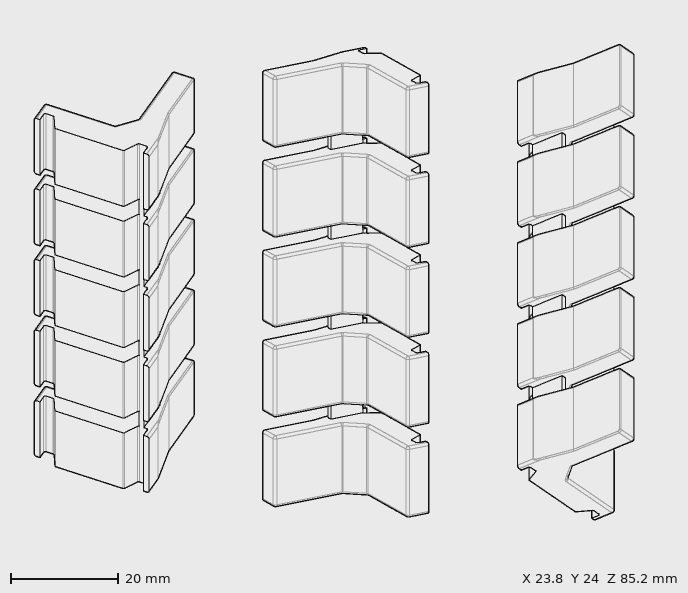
import cadquery as cq

width = 23.8
depth = 24.0
height = 85.2

block_count = 5
block_height = 14.1
block_pitch = (height - block_height) / (block_count - 1)

lip_width = 1.2
lip_bottom = 1.0
groove_roof = 3.0
groove_inner = 3.15
pad_inset = 4.8
foot_top = 5.7
pad_fillet = 0.25
groove_fillet = 0.3

plate_inner = 17.6
plate_outer = 22.15
gusset_start = 14.5
gusset_top = 9.3
gusset_fillet = 0.3
taper_top = 12.95
taper_bottom = 4.8

edge_fillet = 0.5
back_fillet = 0.25

web_left = 20.7
web_thickness = 1.0
web_front = 3.0
web_depth = 7.0

MARGIN = 0.04


def corner_edges(block, points):
    """Edges parallel to Z that pass through the given outline points."""
    picked = []
    for x, y in points:
        nearest = cq.selectors.NearestToPointSelector((x, y, block_height / 2))
        picked += block.edges("|Z").edges(nearest).vals()
    return block.newObject(picked)


def end_edges(block, sides):
    """Edges of both end faces on the given sides, each a pair of outline points."""
    picked = []
    for (x1, y1), (x2, y2) in sides:
        for end_z in (0, block_height):
            enclosure = cq.selectors.BoxSelector(
                (min(x1, x2) - MARGIN, min(y1, y2) - MARGIN, end_z - MARGIN),
                (max(x1, x2) + MARGIN, max(y1, y2) + MARGIN, end_z + MARGIN),
                boundingbox=True,
            )
            picked += block.edges(enclosure).vals()
    return block.newObject(picked)


def make_block():
    """One L-shaped block standing on Z = 0, with its fillets."""
    foot_corner = (0, foot_top)
    gusset_foot = (gusset_start, foot_top)
    gusset_plate = (plate_inner, gusset_top)
    plate_corner = (plate_inner, depth)
    plate_end = (plate_outer, depth)
    taper_start = (plate_outer, taper_top)
    taper_end = (width, taper_bottom)
    right_lip = (width, lip_bottom)
    left_lip = (0, lip_bottom)
    pad_corners = [(pad_inset, 0), (width - pad_inset, 0)]
    roof_corners = [
        (lip_width, groove_roof),
        (groove_inner, groove_roof),
        (width - groove_inner, groove_roof),
        (width - lip_width, groove_roof),
    ]
    outline = [
        left_lip,
        (lip_width, lip_bottom),
        *roof_corners[:2],
        *pad_corners,
        *roof_corners[2:],
        (width - lip_width, lip_bottom),
        right_lip,
        taper_end,
        taper_start,
        plate_end,
        plate_corner,
        gusset_plate,
        gusset_foot,
        foot_corner,
    ]
    block = cq.Workplane("XY").polyline(outline).close().extrude(block_height)
    block = corner_edges(block, pad_corners).fillet(pad_fillet)
    block = corner_edges(block, roof_corners).fillet(groove_fillet)
    block = corner_edges(block, [gusset_foot, gusset_plate]).fillet(gusset_fillet)
    block = corner_edges(block, [foot_corner, plate_corner]).fillet(edge_fillet)

    wide_fillet_sides = [
        (left_lip, foot_corner),
        (plate_corner, plate_end),
        (taper_end, right_lip),
    ]
    narrow_fillet_sides = [
        (plate_end, taper_start),
        (taper_start, taper_end),
    ]
    block = end_edges(block, wide_fillet_sides).fillet(edge_fillet)
    return end_edges(block, narrow_fillet_sides).fillet(back_fillet)


def make_web():
    """Strip from the middle of the lowest block to the middle of the highest."""
    web_height = height - block_height
    web = cq.Workplane("XY").box(web_thickness, web_depth, web_height, centered=False)
    return web.translate((web_left, web_front, block_height / 2))


block = make_block()
result = make_web()
for index in range(block_count):
    result = result.union(block.translate((0, 0, index * block_pitch)))